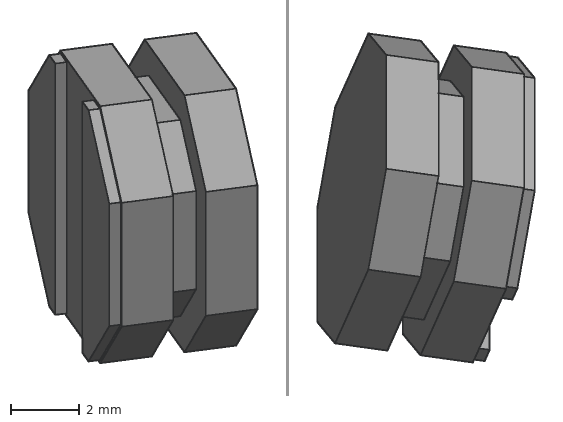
import cadquery as cq

flange_width = 8.3
flange_chamfer = 2.15
flange_thickness = 1.58

core_width = 6.34
core_chamfer = 1.585
core_length = 1.0

pad_thickness = 0.35
pad_width = 8.12
pad_chamfer = 2.08
pad_gap = 2.72

total_depth = 2 * flange_thickness + core_length + pad_thickness

pad_front = -total_depth / 2
front_flange_start = pad_front + pad_thickness
core_start = front_flange_start + flange_thickness
back_flange_start = core_start + core_length


def octagon_plate(width, chamfer, start, thickness):
    """Square plate with cut corners, running from start towards +Y."""
    return (
        cq.Workplane("XY")
        .box(width, thickness, width)
        .edges("|Y")
        .chamfer(chamfer)
        .translate((0, start + thickness / 2, 0))
    )


def terminal_pads():
    """Octagonal plate split into two pads by a vertical channel."""
    plate = octagon_plate(pad_width, pad_chamfer, pad_front, pad_thickness)
    channel = (
        cq.Workplane("XY")
        .box(pad_gap, pad_thickness, pad_width)
        .translate((0, pad_front + pad_thickness / 2, 0))
    )
    return plate.cut(channel)


front_flange = octagon_plate(flange_width, flange_chamfer, front_flange_start, flange_thickness)
core = octagon_plate(core_width, core_chamfer, core_start, core_length)
back_flange = octagon_plate(flange_width, flange_chamfer, back_flange_start, flange_thickness)

result = front_flange.union(core).union(back_flange).union(terminal_pads())